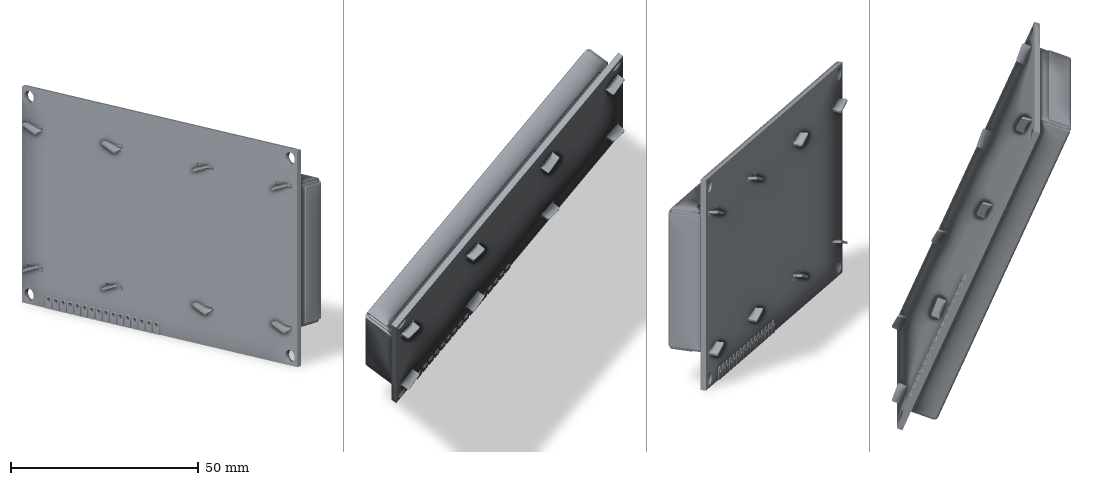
import cadquery as cq


BOARD_LENGTH = 98.1
BOARD_HEIGHT = 59.9
BOARD_THICKNESS = 1.6
MOUNT_HOLE_DIAMETER = 3.3
MOUNT_HOLE_INSET = 2.55

PAD_COUNT = 16
PAD_PITCH = 2.55
PAD_WIDTH = 2.1
PAD_THICKNESS = 0.3
PAD_HOLE_DIAMETER = 1.2
PAD_HOLE_ABOVE_EDGE = 2.55
FIRST_PAD_FROM_LEFT = 9.8

BEZEL_CENTER_X = -0.2
BEZEL_LENGTH = 96.9
BEZEL_HEIGHT = 40.0
BEZEL_DEPTH = 9.6
SHEET = 0.6
BEND_RADIUS = 0.9
CORNER_NOTCH = 1.2
BODY_INSET = 1.0
LEFT_FLAP_GAP = 0.3
FLAP_GAP = 2.9

TAB_WIDTH = 5.2
TAB_REACH = 2.5
ROOT_TWIST = 16.0
TIP_TWIST = 22.0
TAB_CORNER_RADIUS = 0.4
OUTER_TAB_OFFSET = 44.3
INNER_TAB_OFFSET = 16.2
BLADE_Z = 19.4
SLOT_Z = 19.6
SLOT_LENGTH = 6.1
SQUARE_SLOT_LENGTH = 5.9
SLOT_WIDTH = 1.2
SLOT_END_RADIUS = 0.5

BEZEL_BACK = BOARD_THICKNESS + BEZEL_DEPTH
BEZEL_LEFT = BEZEL_CENTER_X - BEZEL_LENGTH / 2
BEZEL_RIGHT = BEZEL_CENTER_X + BEZEL_LENGTH / 2
FLAP_MID_Z = BEZEL_HEIGHT / 2 - SHEET / 2
FLAP_EDGE = BOARD_THICKNESS + FLAP_GAP
PAD_HOLE_Z = PAD_HOLE_ABOVE_EDGE - BOARD_HEIGHT / 2
PAD_CENTERS = [FIRST_PAD_FROM_LEFT - BOARD_LENGTH / 2 + i * PAD_PITCH for i in range(PAD_COUNT)]


def block(x_range, y_range, z_range):
    """Box spanning the given ranges."""
    spans = [end - start for start, end in (x_range, y_range, z_range)]
    corner = (x_range[0], y_range[0], z_range[0])
    return cq.Workplane("XY").box(*spans, centered=False).translate(corner)


def centered(size, middle=0.0):
    """Range of the given size about a middle value."""
    return (middle - size / 2, middle + size / 2)


def cylinder(x, z, diameter, y_start, y_end):
    """Round bar along Y."""
    bar = cq.Workplane("XZ").circle(diameter / 2).extrude(y_start - y_end)
    return bar.translate((x, y_start, z))


def make_board():
    board = block(centered(BOARD_LENGTH), (0, BOARD_THICKNESS), centered(BOARD_HEIGHT))
    hole_x = BOARD_LENGTH / 2 - MOUNT_HOLE_INSET
    hole_z = BOARD_HEIGHT / 2 - MOUNT_HOLE_INSET
    for x in (-hole_x, hole_x):
        for z in (-hole_z, hole_z):
            board = board.cut(cylinder(x, z, MOUNT_HOLE_DIAMETER, 0, BOARD_THICKNESS))
    return board


def add_pads(board):
    """Round-topped pads, each with a hole through pad and board."""
    for x in PAD_CENTERS:
        strip = block(centered(PAD_WIDTH, x), (-PAD_THICKNESS, 0), (-BOARD_HEIGHT / 2, PAD_HOLE_Z))
        crown = cylinder(x, PAD_HOLE_Z, PAD_WIDTH, -PAD_THICKNESS, 0)
        hole = cylinder(x, PAD_HOLE_Z, PAD_HOLE_DIAMETER, -PAD_THICKNESS, BOARD_THICKNESS)
        board = board.union(strip).union(crown).cut(hole)
    return board


def make_bezel():
    """Display body with a back plate whose four edges fold forward as flaps."""
    body = block(
        (BEZEL_LEFT + SHEET, BEZEL_RIGHT - SHEET),
        (BOARD_THICKNESS, BEZEL_BACK - BODY_INSET),
        centered(BEZEL_HEIGHT - 2 * SHEET),
    )
    long_fold = block(
        centered(BEZEL_LENGTH - 2 * CORNER_NOTCH, BEZEL_CENTER_X),
        (FLAP_EDGE, BEZEL_BACK),
        centered(BEZEL_HEIGHT),
    )
    long_fold = long_fold.edges(">Y and |X").fillet(BEND_RADIUS)
    end_fold = block(
        (BEZEL_LEFT, BEZEL_RIGHT),
        (FLAP_EDGE, BEZEL_BACK),
        centered(BEZEL_HEIGHT - 2 * CORNER_NOTCH),
    )
    end_fold = end_fold.edges(">Y and |Z").fillet(BEND_RADIUS)
    left_extension = block(
        (BEZEL_LEFT, BEZEL_LEFT + SHEET),
        (BOARD_THICKNESS + LEFT_FLAP_GAP, FLAP_EDGE),
        centered(BEZEL_HEIGHT - 2 * CORNER_NOTCH),
    )
    return body.union(long_fold).union(end_fold).union(left_extension)


def make_slot(x, z, rounded):
    """Board slot for one tab, with square or rounded ends."""
    length = SLOT_LENGTH if rounded else SQUARE_SLOT_LENGTH
    slot = block(centered(length, x), (0, BOARD_THICKNESS), centered(SLOT_WIDTH, z))
    if rounded:
        slot = slot.edges("|Y").fillet(SLOT_END_RADIUS)
    return slot


def make_tab(x, side, level):
    """Leg from the flap through the board slot, ending in a twisted blade with rounded tip corners.

    side is -1 for the left half and 1 for the right; level is -1 for the bottom row and 1 for the top.
    Only the outer half of the leg stands between the board and the flap.
    """
    flap_z = level * FLAP_MID_Z
    outer_edge = x + side * TAB_WIDTH / 2
    leg = block(sorted((x, outer_edge)), (BOARD_THICKNESS, FLAP_EDGE), centered(SHEET, flap_z))
    shank = block(centered(TAB_WIDTH, x), (0, BOARD_THICKNESS), centered(SHEET, flap_z))
    direction = side * level
    blade = (
        cq.Workplane("XZ")
        .rect(TAB_WIDTH, SHEET)
        .twistExtrude(TAB_REACH, direction * (TIP_TWIST - ROOT_TWIST))
        .rotate((0, 0, 0), (0, -1, 0), direction * ROOT_TWIST)
    )
    tip_corners = blade.edges(cq.selectors.LengthNthSelector(0)).edges("<Y")
    blade = tip_corners.fillet(TAB_CORNER_RADIUS)
    return leg.union(shank).union(blade.translate((x, 0, level * BLADE_Z)))


def add_tabs(module):
    for side in (-1, 1):
        for offset in (OUTER_TAB_OFFSET, INNER_TAB_OFFSET):
            x = side * offset
            for level in (-1, 1):
                slot = make_slot(x, level * SLOT_Z, rounded=offset == INNER_TAB_OFFSET)
                tab = make_tab(x, side, level)
                module = module.cut(slot).union(tab)
    return module


result = add_tabs(add_pads(make_board()).union(make_bezel()))